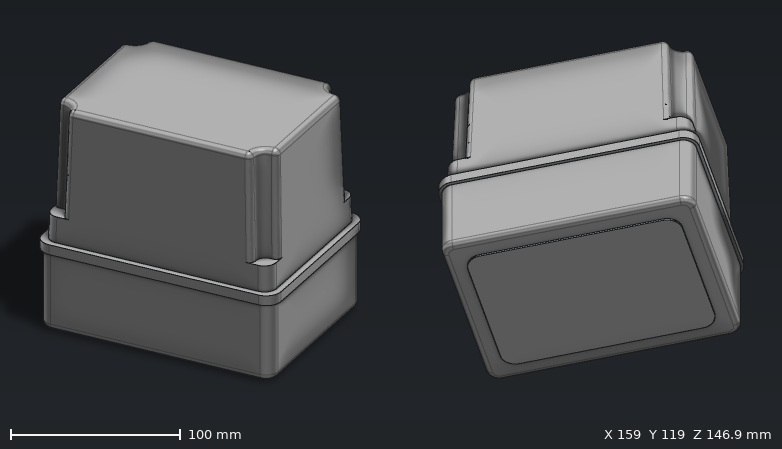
import cadquery as cq
import math

pad_height = 1.2
parting_height = 52.4
flange_thickness = 6.5
shelf_height = 75.8
total_height = 146.9

base_length = 155.0
base_width = 115.0
base_corner_radius = 8.0
base_bottom_fillet = 4.0

pad_margin = 12.0
pad_corner_radius = 9.4

flange_overhang = 2.0
flange_corner_radius = base_corner_radius + flange_overhang

cover_inset = 2.25
cover_corner_radius = 8.0
cover_edge_fillet = 3.8
recess_lip_fillet = 4.0
draft_angle = 1.6

screw_offset_x = 69.3
screw_offset_y = 50.0
recess_floor_radius = 6.4
recess_opening = 20.0

selection_clearance = 1.0

flange_top = parting_height + flange_thickness
cover_length = base_length - 2 * cover_inset
cover_width = base_width - 2 * cover_inset
draft_slope = math.tan(math.radians(draft_angle))


def rounded_block(length, width, height, corner_radius, bottom):
    block = cq.Workplane("XY").workplane(offset=bottom).rect(length, width).extrude(height)
    return block.edges("|Z").fillet(corner_radius)


def make_base():
    base_height = parting_height - pad_height
    body = rounded_block(base_length, base_width, base_height, base_corner_radius, pad_height)
    body = body.faces("<Z").edges().fillet(base_bottom_fillet)
    pad = rounded_block(
        base_length - 2 * pad_margin,
        base_width - 2 * pad_margin,
        pad_height,
        pad_corner_radius,
        0,
    )
    return body.union(pad)


def screw_recess():
    """Conical recess at the +X +Y corner, widening upward and open to the outside of the cover."""
    depth = total_height - shelf_height
    cone = cq.Workplane(
        cq.Solid.makeCone(
            recess_floor_radius,
            recess_floor_radius + depth * draft_slope,
            depth,
            cq.Vector(screw_offset_x, screw_offset_y, shelf_height),
        )
    )
    corner = cq.Workplane(
        cq.Solid.makeBox(
            recess_opening,
            recess_opening,
            depth,
            cq.Vector(screw_offset_x, screw_offset_y, shelf_height),
        )
    )
    return cone.union(corner)


def edges_between(bottom, top):
    """Selector for cover edges whose middle lies between two heights, clear of both."""
    return cq.selectors.BoxSelector(
        (-cover_length, -cover_width, bottom + selection_clearance),
        (cover_length, cover_width, top - selection_clearance),
    )


def make_cover():
    cover = (
        cq.Workplane("XY")
        .workplane(offset=flange_top)
        .rect(cover_length, cover_width)
        .extrude(total_height - flange_top, taper=draft_angle)
    )
    right_rear = screw_recess()
    right_front = right_rear.mirror("XZ")
    for recess in (right_rear, right_front):
        cover = cover.cut(recess).cut(recess.mirror("YZ"))

    corner_edges = edges_between(flange_top, shelf_height)
    cover = cover.edges(corner_edges).fillet(cover_corner_radius)

    lip_edges = edges_between(shelf_height, total_height)
    cover = cover.edges(lip_edges).fillet(recess_lip_fillet)
    return cover.faces(">Z").edges().fillet(cover_edge_fillet)


def make_lid():
    flange = rounded_block(
        base_length + 2 * flange_overhang,
        base_width + 2 * flange_overhang,
        flange_thickness,
        flange_corner_radius,
        parting_height,
    )
    return flange.union(make_cover())


base = make_base()
lid = make_lid()
result = cq.Compound.makeCompound([base.val(), lid.val()])